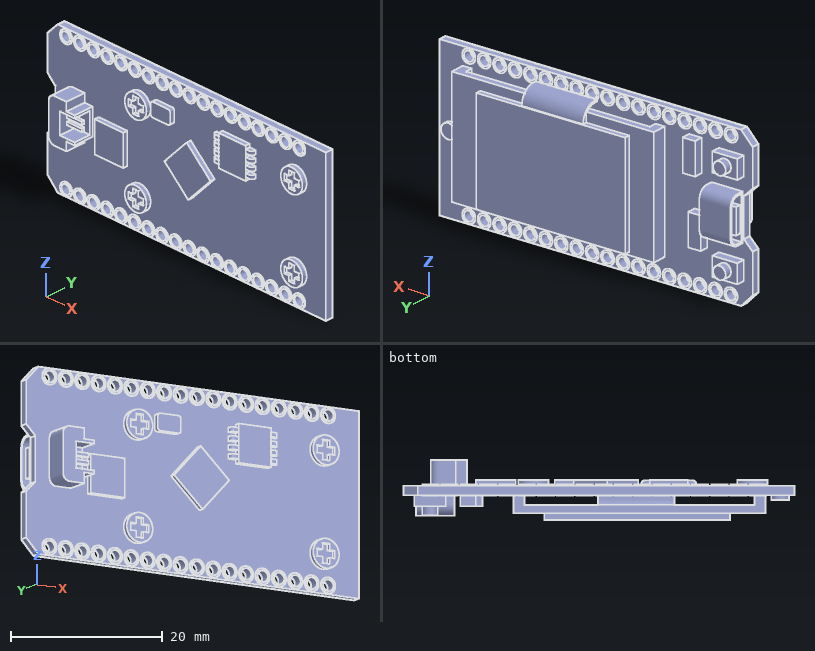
import cadquery as cq
import math


board_length = 51.6
board_height = 25.4
board_thickness = 1.3
corner_cut_x = 1.9
corner_cut_z = 2.0
notch_depth = 1.45
notch_mouth_half = 4.55
notch_floor_half = 3.1
port_z = 0.15

pad_count = 18
pad_first_x = 3.55
pad_last_x = 46.75
pad_pitch = (pad_last_x - pad_first_x) / (pad_count - 1)
pad_row_z = 11.5
pad_radius = 1.1
pad_hole_radius = 0.75
pad_front_height = 0.15
pad_back_height = 0.05

screw_xs = (17.15, 46.05)
screw_zs = (6.6, -7.4)
screw_radius = 2.0
screw_height = 0.75
cross_span = 2.75
cross_width = 1.05
cross_depth = 0.5

chip_height = 0.75
square_chip_size = 5.3
square_chip_x = 12.2
square_chip_z = -1.0
small_chip_length = 3.55
small_chip_width = 2.35
small_chip_corner = 0.35
small_chip_x = 21.7
small_chip_z = 7.3
turned_chip_size = 6.05
turned_chip_angle = 43.0
turned_chip_x = 26.75
turned_chip_z = 0.5

leaded_length = 5.0
leaded_width = 5.3
leaded_x = 35.0
leaded_z = 5.9
lead_rows = 4
lead_row_span = 3.6
lead_pitch = lead_row_span / (lead_rows - 1)
lead_reach = 1.15
lead_width = 0.6
lead_height = 0.7
lead_round = 0.5

socket_left = 3.6
socket_body_length = 3.3
socket_total_length = 4.8
socket_body_width = 7.5
socket_tail_width = 4.55
socket_height = 3.4
socket_z = 0.55
socket_round = 1.05
pocket_length = 2.75
pocket_width = 3.6
pocket_depth = 2.9
contact_size = 0.5
contact_spacing = 1.05
contact_recess = 1.35

usb_left = 1.65
usb_length = 5.1
usb_width = 7.45
usb_height = 2.7
usb_round = 1.5
usb_wall = 0.25
usb_cavity_depth = 3.85
tongue_width = 4.15
tongue_z = 0.05
tongue_thickness = 0.9
tongue_gap = 0.55

button_x = 3.5
button_zs = (7.6, -7.45)
button_length = 4.15
button_width = 3.05
button_height = 1.45
plunger_radius = 1.05
plunger_top = 2.65

rear_chip_width = 5.1
rear_chip_height = 1.45
upper_chip_left = 8.4
upper_chip_length = 2.05
upper_chip_z = 7.3
lower_chip_left = 7.5
lower_chip_length = 2.05
lower_chip_z = -3.2

frame_left = 14.5
frame_right = 47.8
frame_top = 9.85
frame_bottom = -8.95
frame_back = 2.35
frame_plate = 1.15
frame_leg = 1.5
screen_left = 18.6
screen_right = 43.1
screen_top = 8.3
screen_bottom = -8.45
screen_height = 0.9

ribbon_left = 25.65
ribbon_right = 35.75
ribbon_straight = 0.55
ribbon_bend = 2.5
ribbon_thickness = 0.25

sensor_x = 49.7
sensor_z = 0.15
sensor_radius = 1.2
sensor_height = 0.6

BACK = board_thickness
EMBED = 0.1


def block(x0, x1, y0, y1, z0, z1):
    return cq.Workplane("XY").box(x1 - x0, y1 - y0, z1 - z0, centered=False).translate((x0, y0, z0))


def disc(x, z, radius, y0, y1):
    return cq.Workplane("XZ", origin=(x, y0, z)).circle(radius).extrude(y0 - y1)


def centred_block(x, z, length, width, y0, y1):
    return block(x - length / 2, x + length / 2, y0, y1, z - width / 2, z + width / 2)


def make_board():
    top = board_height / 2
    outline = [
        (corner_cut_x, top),
        (board_length, top),
        (board_length, -top),
        (corner_cut_x, -top),
        (0, corner_cut_z - top),
        (0, port_z - notch_mouth_half),
        (notch_depth, port_z - notch_floor_half),
        (notch_depth, port_z + notch_floor_half),
        (0, port_z + notch_mouth_half),
        (0, top - corner_cut_z),
    ]
    return cq.Workplane("XZ").polyline(outline).close().extrude(-board_thickness)


def pad_centres():
    columns = [pad_first_x + i * pad_pitch for i in range(pad_count)]
    return [(x, z) for x in columns for z in (pad_row_z, -pad_row_z)]


def add_pads(body):
    thickness = board_thickness + pad_front_height + pad_back_height
    base = cq.Workplane("XZ", origin=(0, -pad_front_height, 0)).pushPoints(pad_centres())
    pads = base.circle(pad_radius).extrude(-thickness)
    holes = base.circle(pad_hole_radius).extrude(-thickness)
    return body.union(pads).cut(holes)


def make_screw(x, z):
    head = disc(x, z, screw_radius, -screw_height, EMBED)
    floor = cross_depth - screw_height
    bar_across = centred_block(x, z, cross_span, cross_width, -screw_height, floor)
    bar_upright = centred_block(x, z, cross_width, cross_span, -screw_height, floor)
    return head.cut(bar_across).cut(bar_upright)


def make_front_chips():
    square = centred_block(
        square_chip_x, square_chip_z, square_chip_size, square_chip_size, -chip_height, EMBED
    )
    small = centred_block(
        small_chip_x, small_chip_z, small_chip_length, small_chip_width, -chip_height, EMBED
    ).edges("|Y").fillet(small_chip_corner)
    centre = (turned_chip_x, 0, turned_chip_z)
    axis_end = (turned_chip_x, 1, turned_chip_z)
    turned = centred_block(
        turned_chip_x, turned_chip_z, turned_chip_size, turned_chip_size, -chip_height, EMBED
    ).rotate(centre, axis_end, turned_chip_angle)
    return [square, small, turned]


def make_leaded_chip():
    chip = centred_block(leaded_x, leaded_z, leaded_length, leaded_width, -chip_height, EMBED)
    span = leaded_length + 2 * lead_reach
    for row in range(lead_rows):
        z = leaded_z + (row - (lead_rows - 1) / 2) * lead_pitch
        bar = centred_block(leaded_x, z, span, lead_width, -lead_height, EMBED)
        chip = chip.union(bar.edges("|Z and <Y").fillet(lead_round))
    return chip


def make_socket():
    body_right = socket_left + socket_body_length
    right = socket_left + socket_total_length
    body = block(
        socket_left, body_right, -socket_height, EMBED,
        socket_z - socket_body_width / 2, socket_z + socket_body_width / 2,
    ).edges("|Y and <X").fillet(socket_round)
    tail = block(
        body_right - EMBED, right, -socket_height, EMBED,
        socket_z - socket_tail_width / 2, socket_z + socket_tail_width / 2,
    )
    pocket = block(
        right - pocket_length, right, -socket_height, pocket_depth - socket_height,
        socket_z - pocket_width / 2, socket_z + pocket_width / 2,
    )
    socket = body.union(tail).cut(pocket)
    contact_front = contact_recess - socket_height
    for side in (-1, 1):
        z = socket_z + side * contact_spacing / 2
        contact = block(
            right - pocket_length - EMBED, right, contact_front, contact_front + contact_size,
            z - contact_size / 2, z + contact_size / 2,
        )
        socket = socket.union(contact)
    return socket


def make_usb():
    shell = block(
        usb_left, usb_left + usb_length, BACK - EMBED, BACK + usb_height,
        port_z - usb_width / 2, port_z + usb_width / 2,
    ).edges("|X and >Y").fillet(usb_round)
    cavity = block(
        usb_left, usb_left + usb_cavity_depth, BACK + usb_wall, BACK + usb_height - usb_wall,
        port_z - usb_width / 2 + usb_wall, port_z + usb_width / 2 - usb_wall,
    ).edges("|X and >Y").fillet(usb_round - usb_wall)
    tongue = block(
        usb_left, usb_left + usb_cavity_depth + EMBED,
        BACK + tongue_gap, BACK + tongue_gap + tongue_thickness,
        tongue_z - tongue_width / 2, tongue_z + tongue_width / 2,
    )
    return shell.cut(cavity).union(tongue)


def make_button(z):
    base = centred_block(button_x, z, button_length, button_width, BACK - EMBED, BACK + button_height)
    return base.union(disc(button_x, z, plunger_radius, BACK, BACK + plunger_top))


def make_rear_chip(left, length, z):
    return centred_block(
        left + length / 2, z, length, rear_chip_width, BACK - EMBED, BACK + rear_chip_height
    )


def make_display():
    frame_face = BACK + frame_back
    frame = block(frame_left, frame_right, BACK - EMBED, frame_face, frame_bottom, frame_top)
    gap = block(
        frame_left + frame_leg, frame_right - frame_leg,
        BACK - EMBED, frame_face - frame_plate, frame_bottom, frame_top,
    )
    screen = block(
        screen_left, screen_right, frame_face - EMBED, frame_face + screen_height,
        screen_bottom, screen_top,
    )
    return frame.cut(gap).union(screen)


def make_ribbon():
    bend_y = BACK + ribbon_straight

    def quarter_round(radius):
        middle = radius * math.sqrt(0.5)
        return (
            cq.Workplane("YZ", origin=(ribbon_left, 0, 0))
            .moveTo(BACK - EMBED, screen_top)
            .lineTo(BACK - EMBED, screen_top + radius)
            .lineTo(bend_y, screen_top + radius)
            .threePointArc(
                (bend_y + middle, screen_top + middle), (bend_y + radius, screen_top)
            )
            .close()
            .extrude(ribbon_right - ribbon_left)
        )

    hollow_top = quarter_round(ribbon_bend - ribbon_thickness).intersect(
        block(ribbon_left, ribbon_right, 0, bend_y + ribbon_bend, frame_top, board_height / 2)
    )
    hollow_under = block(
        ribbon_left, ribbon_right, 0, BACK + frame_back - frame_plate, screen_top, frame_top
    )
    return quarter_round(ribbon_bend).cut(hollow_top).cut(hollow_under)


components = make_front_chips()
components += [make_screw(x, z) for x in screw_xs for z in screw_zs]
components += [make_button(z) for z in button_zs]
components += [
    make_leaded_chip(),
    make_socket(),
    make_usb(),
    make_rear_chip(upper_chip_left, upper_chip_length, upper_chip_z),
    make_rear_chip(lower_chip_left, lower_chip_length, lower_chip_z),
    make_display(),
    make_ribbon(),
    disc(sensor_x, sensor_z, sensor_radius, BACK - EMBED, BACK + sensor_height),
]

result = add_pads(make_board())
for component in components:
    result = result.union(component)